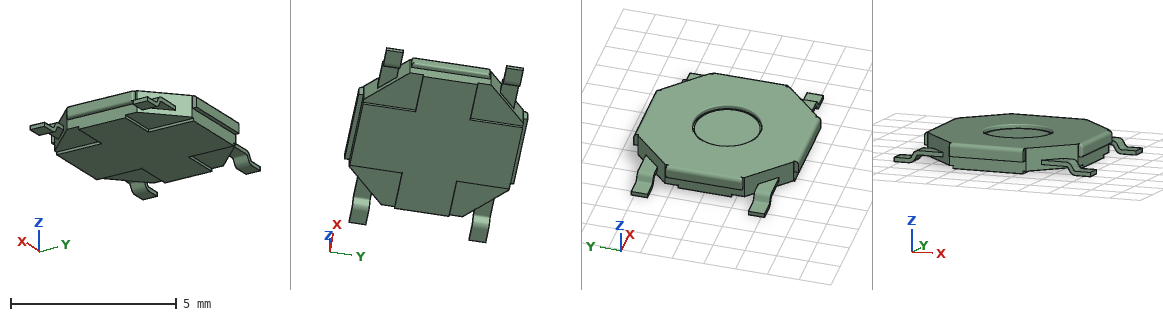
import cadquery as cq
import math

body_width = 4.9
body_corner = 1.2
height = 0.8
foot_height = 0.09
foot_arm_width_x = 2.28
foot_arm_width_y = 1.68

flap_bend_radius = 0.135
flap_protrusion = 0.15
flap_width = 2.405
flap_drop = 0.4
flap_end_round = 0.065

opening_diameter = 2.1
opening_depth = 0.12
opening_rim_round = 0.035
button_diameter = 2.0
button_depth = 0.11

lead_span = 6.4
lead_width = 0.51
lead_center_y = 1.84
lead_thickness = 0.135
lead_top = 0.4
foot_length = 0.47
bend_angle = 60.0
foot_bend_radius = 0.095
shoulder_bend_radius = 0.205
lead_inner_x = 1.28


def octagonal_housing():
    housing = (
        cq.Workplane("XY", origin=(0, 0, foot_height))
        .rect(body_width, body_width)
        .extrude(height - foot_height)
        .edges("|Z")
        .chamfer(body_corner)
    )
    arm_along_y = cq.Workplane("XY").rect(foot_arm_width_x, body_width).extrude(foot_height)
    arm_along_x = cq.Workplane("XY").rect(body_width, foot_arm_width_y).extrude(foot_height)
    return housing.union(arm_along_y).union(arm_along_x)


def flap_bar(size_x, size_y):
    """A bar across the cover whose two ends stick out of the housing as flaps."""
    return cq.Workplane("XY", origin=(0, 0, height - flap_drop)).rect(size_x, size_y).extrude(flap_drop)


def cover_flaps():
    flap_span = body_width + 2 * flap_protrusion
    bar_along_y = flap_bar(flap_width, flap_span).edges("|X and >Z").fillet(flap_bend_radius)
    bar_along_x = flap_bar(flap_span, flap_width).edges("|Y and >Z").fillet(flap_bend_radius)
    bar_along_x = bar_along_x.faces("<X or >X").edges("|Z or <Z").fillet(flap_end_round)
    return bar_along_y.union(bar_along_x)


def button_opening():
    """The space removed around and above the button, with a rounded rim at the top."""
    radius = opening_diameter / 2
    opening = (
        cq.Workplane("XZ")
        .moveTo(0, height - opening_depth)
        .lineTo(radius, height - opening_depth)
        .lineTo(radius, height - opening_rim_round)
        .radiusArc((radius + opening_rim_round, height), opening_rim_round)
        .lineTo(0, height)
        .close()
        .revolve(360, (0, 0), (0, 1))
    )
    button = (
        cq.Workplane("XY", origin=(0, 0, height - opening_depth))
        .circle(button_diameter / 2)
        .extrude(opening_depth - button_depth)
    )
    return opening.cut(button)


def lead():
    """The lead with its tip towards -X, bent in the XZ plane and centred on Y = 0."""
    sine = math.sin(math.radians(bend_angle))
    cosine = math.cos(math.radians(bend_angle))
    foot_outer_radius = foot_bend_radius + lead_thickness
    shoulder_inner_radius = shoulder_bend_radius - lead_thickness

    foot_bend_x = -lead_span / 2 + foot_length
    foot_center_z = lead_thickness + foot_bend_radius
    shoulder_center_z = lead_top - shoulder_bend_radius
    bend_radii = foot_bend_radius + shoulder_bend_radius
    slope_rise = lead_top - lead_thickness - bend_radii * (1 - cosine)
    shoulder_x = foot_bend_x + bend_radii * sine + slope_rise * cosine / sine

    def on_foot_bend(radius):
        return (foot_bend_x + radius * sine, foot_center_z - radius * cosine)

    def on_shoulder_bend(radius):
        return (shoulder_x - radius * sine, shoulder_center_z + radius * cosine)

    return (
        cq.Workplane("XZ", origin=(0, lead_width / 2, 0))
        .moveTo(-lead_span / 2, 0)
        .lineTo(foot_bend_x, 0)
        .radiusArc(on_foot_bend(foot_outer_radius), -foot_outer_radius)
        .lineTo(*on_shoulder_bend(shoulder_inner_radius))
        .radiusArc((shoulder_x, lead_top - lead_thickness), shoulder_inner_radius)
        .lineTo(-lead_inner_x, lead_top - lead_thickness)
        .lineTo(-lead_inner_x, lead_top)
        .lineTo(shoulder_x, lead_top)
        .radiusArc(on_shoulder_bend(shoulder_bend_radius), -shoulder_bend_radius)
        .lineTo(*on_foot_bend(foot_bend_radius))
        .radiusArc((foot_bend_x, lead_thickness), foot_bend_radius)
        .lineTo(-lead_span / 2, lead_thickness)
        .close()
        .extrude(lead_width)
    )


result = octagonal_housing().union(cover_flaps()).cut(button_opening())
left_lead = lead()
right_lead = left_lead.mirror("YZ")
for lead_y in (-lead_center_y, lead_center_y):
    for side_lead in (left_lead, right_lead):
        result = result.union(side_lead.translate((0, lead_y, 0)))